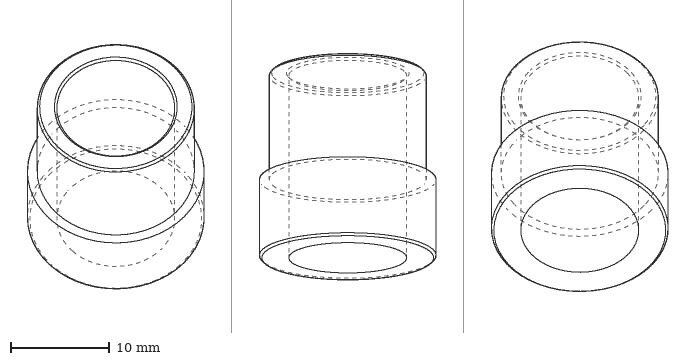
import cadquery as cq

total_height = 19.45
collar_height = 8.25
collar_diameter = 18.0
sleeve_diameter = 16.0
bore_diameter = 12.0
edge_chamfer = 0.25

sleeve_height = total_height - collar_height


def chamfer_cone(small_diameter, height):
    """Frustum standing on z = 0 that widens upward at 45 degrees."""
    small_radius = small_diameter / 2
    return cq.Workplane("XY").add(cq.Solid.makeCone(small_radius, small_radius + height, height))


def make_collar():
    """Wide lower ring body, chamfered around its bottom rim."""
    collar = cq.Workplane("XY").circle(collar_diameter / 2).extrude(collar_height)
    return collar.faces("<Z").edges().chamfer(edge_chamfer)


def make_sleeve():
    """Narrower upper cylinder, chamfered around its top rim."""
    sleeve = (
        cq.Workplane("XY")
        .workplane(offset=collar_height)
        .circle(sleeve_diameter / 2)
        .extrude(sleeve_height)
    )
    return sleeve.faces(">Z").edges().chamfer(edge_chamfer)


def cut_bore(body):
    """Through bore with a chamfered mouth at the top."""
    bore = cq.Workplane("XY").circle(bore_diameter / 2).extrude(total_height)
    mouth = chamfer_cone(bore_diameter, edge_chamfer).translate((0, 0, total_height - edge_chamfer))
    return body.cut(bore).cut(mouth)


result = cut_bore(make_collar().union(make_sleeve()))